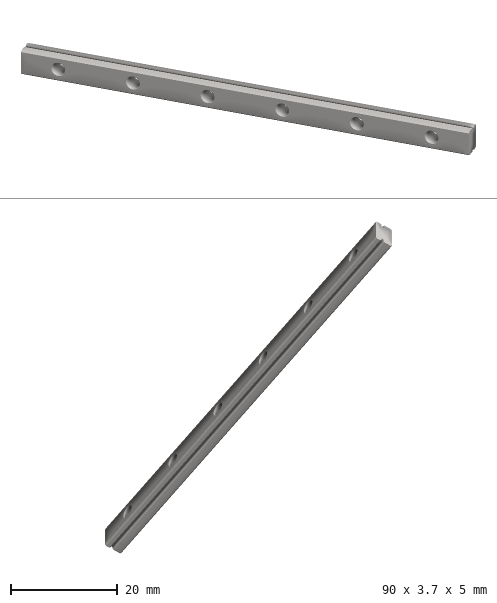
import cadquery as cq

length = 90.0
width = 3.7
height = 5.0
edge_chamfer = 0.3

groove_y = 0.4
groove_width = 0.45
groove_depth = 0.7
mouth_width = 1.0
mouth_depth = (mouth_width - groove_width) / 2

hole_count = 6
hole_pitch = length / hole_count
hole_diameter = 2.4
hole_chamfer = 0.2


def make_bar():
    """Bar centred on the origin with its four long edges chamfered."""
    bar = cq.Workplane("XY").box(length, width, height)
    return bar.edges("|X").chamfer(edge_chamfer)


def make_top_groove():
    """Cutter for a straight-walled groove with a flared mouth."""
    top = height / 2
    half_profile = [
        (mouth_width / 2, top),
        (groove_width / 2, top - mouth_depth),
        (groove_width / 2, top - groove_depth),
    ]
    mirrored = [(-y, z) for y, z in reversed(half_profile)]
    profile = [(groove_y + y, z) for y, z in half_profile + mirrored]
    return cq.Workplane("YZ").polyline(profile).close().extrude(length / 2, both=True)


def drill_holes(bar):
    """Drill the row along Y and chamfer both rims of every hole."""
    holes = bar.faces("<Y").workplane(centerOption="CenterOfBoundBox")
    drilled = holes.rarray(hole_pitch, 0.9, hole_count, 1).hole(hole_diameter)
    return drilled.faces("<Y or >Y").edges("%CIRCLE").chamfer(hole_chamfer)


top_groove = make_top_groove()
bottom_groove = top_groove.mirror("XY")
grooved_bar = make_bar().cut(top_groove).cut(bottom_groove)
result = drill_holes(grooved_bar)